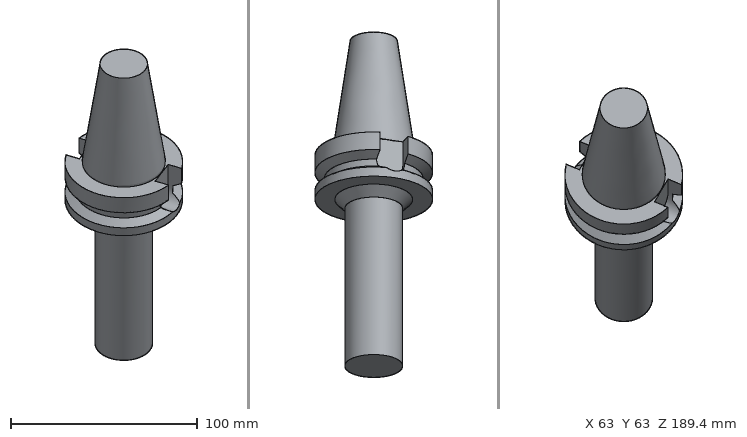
import cadquery as cq

total_length = 189.4
shank_diameter = 31.0
flange_diameter = 63.0
groove_diameter = 53.0

gauge_diameter = 44.5
taper_length = 65.3
taper_ratio = 7 / 24
collar_length = 1.1

upper_rim_height = 10.2
groove_top_depth = 13.6
groove_bottom_depth = 17.6
lower_rim_depth = 20.5
flange_height = 25.8

neck_height = 5.3

slot_width = 16.1
slot_depth = 21.8
slot_floor_radius = 22.5

shank_radius = shank_diameter / 2
flange_radius = flange_diameter / 2
groove_radius = groove_diameter / 2
gauge_radius = gauge_diameter / 2
tip_radius = gauge_radius - taper_length * taper_ratio / 2
neck_radius = shank_radius + neck_height

gauge_z = total_length - taper_length
flange_top_z = gauge_z - collar_length
flange_bottom_z = flange_top_z - flange_height


def revolved_body():
    """Shank, neck, grooved flange and taper as one turned profile."""
    profile = [
        (0, 0),
        (shank_radius, 0),
        (shank_radius, flange_bottom_z - neck_height),
        (neck_radius, flange_bottom_z),
        (flange_radius, flange_bottom_z),
        (flange_radius, flange_top_z - lower_rim_depth),
        (groove_radius, flange_top_z - groove_bottom_depth),
        (groove_radius, flange_top_z - groove_top_depth),
        (flange_radius, flange_top_z - upper_rim_height),
        (flange_radius, flange_top_z),
        (gauge_radius, flange_top_z),
        (gauge_radius, gauge_z),
        (tip_radius, total_length),
        (0, total_length),
    ]
    return cq.Workplane("XZ").polyline(profile).close().revolve(360, (0, 0), (0, 1))


def drive_slot(side):
    """Round-bottomed cutter for the slot on the +X (side = 1) or -X (side = -1) side."""
    half_width = slot_width / 2
    slot_bottom_z = flange_top_z - slot_depth
    arc_start_z = slot_bottom_z + half_width
    return (
        cq.Workplane("YZ", origin=(side * slot_floor_radius, 0, 0))
        .moveTo(-half_width, flange_top_z)
        .lineTo(-half_width, arc_start_z)
        .threePointArc((0, slot_bottom_z), (half_width, arc_start_z))
        .lineTo(half_width, flange_top_z)
        .close()
        .extrude(side * flange_radius)
    )


result = revolved_body()
for side in (-1, 1):
    result = result.cut(drive_slot(side))